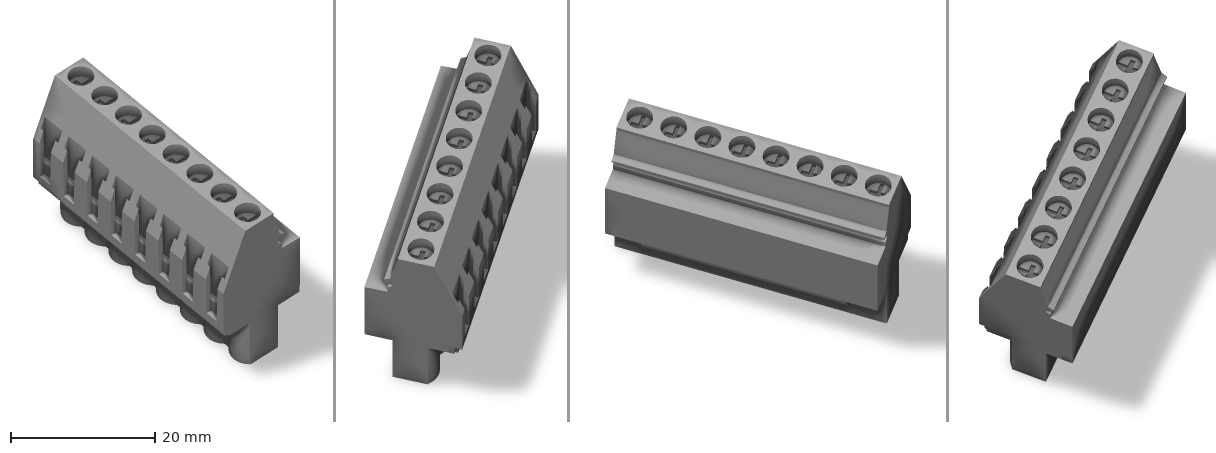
import cadquery as cq
import math


pole_count = 8
pitch = 5.0
length = pole_count * pitch
half_length = length / 2
pole_xs = [(i - (pole_count - 1) / 2) * pitch for i in range(pole_count)]

top_z = 27.2
shoulder_z = 17.35
body_z = 9.7
collar_z = 8.3

back_y = 14.05
roof_front_y = 4.0
roof_back_y = 9.25

roof_back_drop = 0.65
lip_root_y, lip_root_z = 10.35, 22.35
lip_tip_y, lip_tip_z = 11.2, 21.9
lip_under_z = 21.5
groove_y, groove_z = 10.05, 20.65
ledge_y = 10.7
groove_foot_z = 20.2
ledge_z = 19.25
back_top_z = 19.1

lower_length = length - 0.1
collar_front_y = 0.65
collar_notch_x = 0.3
collar_notch_y = 0.5

plug_front_y = 4.9
plug_back_y = 10.05
barrel_front_y = 3.9
barrel_width = 4.35
end_barrel_shift = 0.15
inner_barrel_shift = -0.1

latch_length = length - 2 * pitch
latch_root_back_y = 13.45
latch_root_front_y = 11.3
latch_back_bend = (13.0, 6.1)
latch_tip_back = (11.7, 4.15)
latch_tip_bottom = (11.2, 4.2)
latch_tip_front = (11.1, 4.85)
latch_throat_y = 11.7
latch_throat_bottom_z = 5.5
latch_throat_top_z = 7.3

slot_wall = 0.8
slot_bottom_z = 10.9
slot_top_width = 2.5
slot_bottom_width = 2.1
cavity_width = 3.7
cavity_back_y = 1.55
cavity_top_z = 21.15
cavity_bottom_z = 13.15

screw_y = 6.6
screw_diameter = 3.7
screw_recess = 2.0
screw_height = 2.4
drive_depth = 0.6
drive_long_width = 0.6
drive_short_width = 0.7
drive_short_length = 2.65


def make_body():
    """Main body: the end outline, as (Y, Z) points, carried along the whole row."""
    outline = [
        (0, body_z),
        (0, shoulder_z),
        (roof_front_y, top_z),
        (roof_back_y, top_z),
        (roof_back_y, top_z - roof_back_drop),
        (lip_root_y, lip_root_z),
        (lip_tip_y, lip_tip_z),
        (lip_tip_y, lip_under_z),
        (groove_y, lip_under_z),
        (groove_y, groove_z),
        (ledge_y, groove_foot_z),
        (ledge_y, ledge_z),
        (back_y, back_top_z),
        (back_y, body_z),
    ]
    return cq.Workplane("YZ").polyline(outline).close().extrude(half_length, both=True)


def make_collar():
    """Collar with a small square notch at each front corner."""
    collar = cq.Workplane("XY").box(
        lower_length, back_y - collar_front_y, body_z - collar_z, centered=(True, False, False)
    ).translate((0, collar_front_y, collar_z))
    for side in (-1, 1):
        notch = cq.Workplane("XY").box(
            2 * collar_notch_x, 2 * collar_notch_y, body_z - collar_z, centered=(True, True, False)
        ).translate((side * lower_length / 2, collar_front_y, collar_z))
        collar = collar.cut(notch)
    return collar


def make_plug():
    """Plug block whose front bulges into one rounded barrel per pole."""
    plug = cq.Workplane("XY").box(
        lower_length, plug_back_y - plug_front_y, collar_z, centered=(True, False, False)
    ).translate((0, plug_front_y, 0))
    for x in pole_xs:
        is_end = abs(x) + pitch > half_length
        center_x = x + (math.copysign(end_barrel_shift, x) if is_end else inner_barrel_shift)
        barrel = (
            cq.Workplane("XY")
            .moveTo(center_x - barrel_width / 2, plug_front_y)
            .threePointArc((center_x, barrel_front_y), (center_x + barrel_width / 2, plug_front_y))
            .close()
            .extrude(collar_z)
        )
        plug = plug.union(barrel)
    return plug


def make_latch():
    """Curved latch hanging from the collar behind the plug block."""
    return (
        cq.Workplane("YZ")
        .moveTo(latch_root_back_y, collar_z)
        .threePointArc(latch_back_bend, latch_tip_back)
        .threePointArc(latch_tip_bottom, latch_tip_front)
        .lineTo(latch_throat_y, latch_throat_bottom_z)
        .lineTo(latch_throat_y, latch_throat_top_z)
        .lineTo(latch_root_front_y, collar_z)
        .close()
        .extrude(latch_length / 2, both=True)
    )


def make_slot():
    """Tapering wire slot that opens into a wider cavity behind the front wall.

    The sloping front face cuts into the cavity above the wall, which leaves a T-shaped opening.
    """
    wall_top_z = shoulder_z + slot_wall * (top_z - shoulder_z) / roof_front_y
    bottom = slot_bottom_width / 2
    top = slot_top_width / 2
    corners = [(-bottom, slot_bottom_z), (bottom, slot_bottom_z), (top, wall_top_z), (-top, wall_top_z)]
    slot = cq.Workplane("XZ").polyline(corners).close().extrude(-slot_wall)
    cavity = cq.Workplane("XY").box(
        cavity_width, cavity_back_y - slot_wall, cavity_top_z - cavity_bottom_z, centered=(True, False, False)
    ).translate((0, slot_wall, cavity_bottom_z))
    return slot.union(cavity)


def make_screw_hole():
    """Round hole from the roof down to the foot of the screw."""
    depth = screw_recess + screw_height
    return (
        cq.Workplane("XY")
        .circle(screw_diameter / 2)
        .extrude(depth)
        .translate((0, screw_y, top_z - depth))
    )


def make_housing():
    """Moulded housing with a wire slot and a screw hole for every pole."""
    housing = make_body().union(make_collar()).union(make_plug()).union(make_latch())
    slot = make_slot()
    screw_hole = make_screw_hole()
    for x in pole_xs:
        housing = housing.cut(slot.translate((x, 0, 0)))
        housing = housing.cut(screw_hole.translate((x, 0, 0)))
    return housing


def make_screw(x):
    """Screw at the bottom of its hole, with a long and a short drive slot crossing in its head."""
    return (
        cq.Workplane("XY")
        .circle(screw_diameter / 2)
        .extrude(screw_height)
        .faces(">Z")
        .workplane()
        .rect(drive_long_width, screw_diameter)
        .cutBlind(-drive_depth)
        .faces(">Z")
        .workplane(origin=(0, 0, screw_height))
        .rect(drive_short_length, drive_short_width)
        .cutBlind(-drive_depth)
        .translate((x, screw_y, top_z - screw_recess - screw_height))
    )


housing = make_housing()
screws = [make_screw(x) for x in pole_xs]

result = cq.Compound.makeCompound([housing.val(), *[screw.val() for screw in screws]])